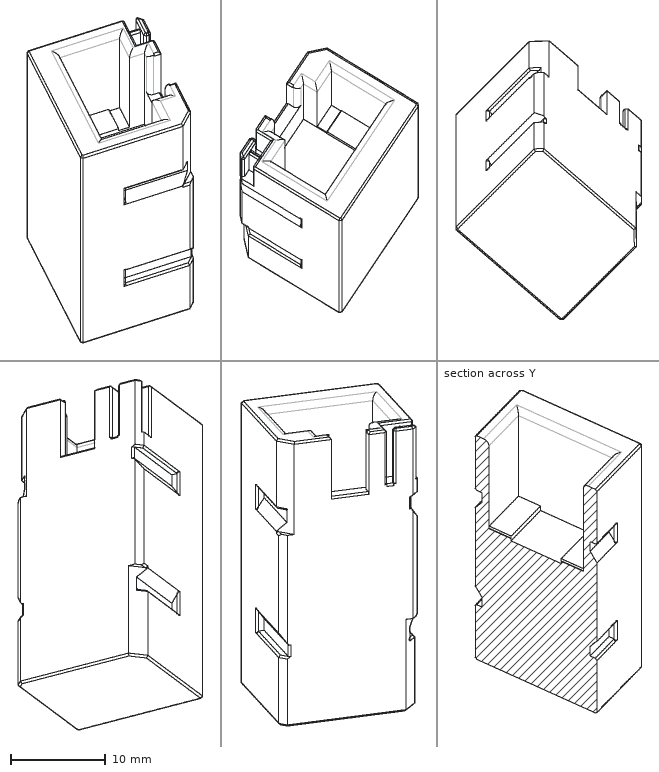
import cadquery as cq
import math

WIDTH = 15.55
DEPTH = 13.15
HEIGHT = 32.45
EDGE = 0.23

HALF_WIDTH = WIDTH / 2

SMALL_CORNER = 0.7
LARGE_CORNER = 1.5

SLOT_OFFSET = 8.0
SLOT_FLOOR = 1.33
SLOT_RAMP = 1.23
SLOT_LENGTH = SLOT_OFFSET + SLOT_FLOOR + SLOT_RAMP
SLOT_DEPTH = 0.88
SLOT_START_Y = 4.9
SLOT_END_CHAMFER = 0.25

SOCKET_WIDTH = 11.98
SOCKET_FRONT_Y = 3.1
SOCKET_BACK_Y = 9.95
KEYWAY_WIDTH = 6.35
KEYWAY_BACK_Y = 11.7
SOCKET_DEPTH = 13.0
MOUTH_RADIUS = 0.68
LEDGE_STEP = 0.32
UPPER_LEDGE_BACK_Y = 8.73

NOTCH_WIDTH = 4.2
NOTCH_DEPTH = 6.82
NOTCH_RADIUS = 0.6

POCKET_WIDTH = 3.65
POCKET_FRONT_Y = 11.15
POCKET_DEPTH = 6.2
TONGUE_INSET = 0.2
TONGUE_WIDTH = 2.65
TONGUE_FRONT_Y = 12.37
RIB_INSET = 1.25
RIB_WIDTH = 0.52
RIB_DROP = 0.55


def box(x0, x1, y0, y1, z0, z1):
    """Block between two opposite corners."""
    size = (x1 - x0, y1 - y0, z1 - z0)
    return cq.Workplane("XY").box(*size, centered=False).translate((x0, y0, z0))


def prism(points, z0, z1):
    """Upright prism over a plan outline."""
    return cq.Workplane("XY", origin=(0, 0, z0)).polyline(points).close().extrude(z1 - z0)


def turned_over(shape):
    """The same shape after half a turn about the part's middle Y axis."""
    return shape.rotate((0, 0, HEIGHT / 2), (0, 1, HEIGHT / 2), 180)


def corner_wedge(size, z0, z1):
    """Material outside a 45 degree cut on the left back corner."""
    points = [(-HALF_WIDTH, DEPTH), (-HALF_WIDTH + size, DEPTH), (-HALF_WIDTH, DEPTH - size)]
    return prism(points, z0, z1)


def back_edge_bevel(x0, width, floor_z):
    """Bevel along the back edge of a floor that opens through the back face."""
    profile = [(DEPTH - EDGE, floor_z), (DEPTH, floor_z), (DEPTH, floor_z - EDGE)]
    return cq.Workplane("YZ", origin=(x0, 0, 0)).polyline(profile).close().extrude(width)


def step_bevel():
    """Bevel on the side edge of the step where the large corner cut ends."""
    side = -HALF_WIDTH
    profile = [(side, SLOT_LENGTH), (side + EDGE, SLOT_LENGTH), (side, SLOT_LENGTH + EDGE)]
    start_y = DEPTH - LARGE_CORNER
    return cq.Workplane("XZ", origin=(0, start_y, 0)).polyline(profile).close().extrude(-LARGE_CORNER)


def make_block():
    block = box(-HALF_WIDTH, HALF_WIDTH, 0, DEPTH, 0, HEIGHT)
    block = block.edges("|Z and <Y").chamfer(EDGE)
    small_wedge = corner_wedge(SMALL_CORNER, 0, HEIGHT)
    large_wedge = corner_wedge(LARGE_CORNER, 0, SLOT_LENGTH)
    for wedge in (small_wedge, large_wedge, step_bevel()):
        block = block.cut(wedge).cut(turned_over(wedge))

    pocket_floor = HEIGHT - POCKET_DEPTH
    pocket_wall = -HALF_WIDTH + POCKET_WIDTH
    block = block.cut(box(-HALF_WIDTH, pocket_wall, POCKET_FRONT_Y, DEPTH, pocket_floor, HEIGHT))
    block = block.faces("<Z or >Z").edges().chamfer(EDGE)
    return bevel_pocket(block, pocket_floor, pocket_wall)


def bevel_pocket(block, floor_z, wall_x):
    """Bevel the pocket edges that meet the side and back faces of the block."""
    side = -HALF_WIDTH
    front_wall_bevel = prism(
        [(side, POCKET_FRONT_Y - EDGE), (side + EDGE, POCKET_FRONT_Y), (side, POCKET_FRONT_Y)],
        floor_z,
        HEIGHT,
    )
    inner_wall_bevel = prism(
        [(wall_x, DEPTH - EDGE), (wall_x + EDGE, DEPTH), (wall_x, DEPTH)],
        floor_z,
        HEIGHT,
    )
    tongue_end = side + TONGUE_INSET + TONGUE_WIDTH
    floor_bevel = back_edge_bevel(tongue_end, wall_x - tongue_end, floor_z)
    return block.cut(front_wall_bevel).cut(inner_wall_bevel).cut(floor_bevel)


def make_tongue_and_rib():
    floor_z = HEIGHT - POCKET_DEPTH
    tongue_x = -HALF_WIDTH + TONGUE_INSET
    tongue = box(tongue_x, tongue_x + TONGUE_WIDTH, TONGUE_FRONT_Y, DEPTH, floor_z, HEIGHT - EDGE)
    tongue = tongue.cut(corner_wedge(SMALL_CORNER, floor_z, HEIGHT))
    tongue = tongue.edges("|Z and (<Y or >X)").chamfer(EDGE)
    bevelled_top = tongue.faces(">Z").wires().toPending().workplane().extrude(EDGE, taper=45, combine=False)
    tongue = tongue.union(bevelled_top)

    rib_x = -HALF_WIDTH + RIB_INSET
    rib_top = HEIGHT - RIB_DROP
    rib = box(rib_x, rib_x + RIB_WIDTH, POCKET_FRONT_Y, TONGUE_FRONT_Y, floor_z, rib_top)
    rib = rib.faces(">Z").edges("|Y").chamfer(EDGE)
    return tongue.union(rib)


def corner_bevel(corner_size, wall_z):
    """Bevel on the slot wall where it runs across a 45 degree corner cut."""
    along_corner = cq.Plane(
        origin=(-HALF_WIDTH, DEPTH - corner_size, wall_z),
        xDir=(1, -1, 0),
        normal=(1, 1, 0),
    )
    profile = [(0, 0), (EDGE, 0), (0, -EDGE)]
    return cq.Workplane(along_corner).polyline(profile).close().extrude(SLOT_DEPTH * math.sqrt(2))


def make_slot(corner_size):
    """Cutter for the upper slot in the left side, beside a corner cut of the given size."""
    side = -HALF_WIDTH
    floor = side + SLOT_DEPTH
    wall_z = HEIGHT - SLOT_OFFSET
    ramp_z = wall_z - SLOT_FLOOR
    end_z = ramp_z - SLOT_RAMP
    inner_y = SLOT_START_Y + SLOT_END_CHAMFER
    profile = [
        (side, wall_z + EDGE),
        (side + EDGE, wall_z),
        (floor, wall_z),
        (floor, ramp_z),
        (side, end_z),
    ]
    slot = cq.Workplane("XZ", origin=(0, inner_y, 0)).polyline(profile).close().extrude(inner_y - DEPTH)
    end_bevel = prism(
        [(side, SLOT_START_Y), (side, inner_y), (side + SLOT_END_CHAMFER, inner_y)],
        end_z,
        wall_z + EDGE,
    )
    back_bevel = prism(
        [(floor, DEPTH - EDGE), (floor + EDGE, DEPTH), (floor, DEPTH)],
        ramp_z,
        wall_z,
    )
    return slot.union(end_bevel).union(back_bevel).union(corner_bevel(corner_size, wall_z))


def cut_slots(block):
    upper_left = make_slot(SMALL_CORNER)
    lower_left = make_slot(LARGE_CORNER).mirror("XY", (0, 0, HEIGHT / 2))
    for slot in (upper_left, lower_left):
        block = block.cut(slot).cut(turned_over(slot))
    return block


def cut_socket(block):
    floor_z = HEIGHT - SOCKET_DEPTH
    half_socket = SOCKET_WIDTH / 2
    half_key = KEYWAY_WIDTH / 2
    main = box(-half_socket, half_socket, SOCKET_FRONT_Y, SOCKET_BACK_Y, floor_z, HEIGHT)
    keyway = box(-half_key, half_key, SOCKET_FRONT_Y, KEYWAY_BACK_Y, floor_z, HEIGHT)
    block = block.cut(main.union(keyway))
    mouth = block.faces(">Z").wires(
        cq.selectors.BoxSelector(
            (-half_socket - EDGE, SOCKET_FRONT_Y - EDGE, HEIGHT - EDGE),
            (half_socket + EDGE, KEYWAY_BACK_Y + EDGE, HEIGHT + EDGE),
            boundingbox=True,
        )
    )
    block = mouth.edges().fillet(MOUTH_RADIUS)
    ledges = ((LEDGE_STEP, SOCKET_BACK_Y), (2 * LEDGE_STEP, UPPER_LEDGE_BACK_Y))
    for x0, x1 in ((-half_socket, -half_key), (half_key, half_socket)):
        for height, back_y in ledges:
            block = block.union(box(x0, x1, SOCKET_FRONT_Y, back_y, floor_z, floor_z + height))
    return block


def cut_notch(block):
    half = NOTCH_WIDTH / 2
    floor_z = HEIGHT - NOTCH_DEPTH
    wide = half + NOTCH_RADIUS
    mouth_y = KEYWAY_BACK_Y + MOUTH_RADIUS
    round_end_y = KEYWAY_BACK_Y + NOTCH_RADIUS
    notch = (
        cq.Workplane("XY", origin=(0, 0, floor_z))
        .moveTo(-wide, KEYWAY_BACK_Y)
        .radiusArc((-half, round_end_y), -NOTCH_RADIUS)
        .lineTo(-half, DEPTH)
        .lineTo(half, DEPTH)
        .lineTo(half, round_end_y)
        .radiusArc((wide, KEYWAY_BACK_Y), -NOTCH_RADIUS)
        .close()
        .extrude(NOTCH_DEPTH)
    )
    bevel_profile = [
        (-half, HEIGHT - EDGE),
        (-half - EDGE, HEIGHT),
        (half + EDGE, HEIGHT),
        (half, HEIGHT - EDGE),
    ]
    top_bevel = (
        cq.Workplane("XZ", origin=(0, mouth_y, 0)).polyline(bevel_profile).close().extrude(mouth_y - DEPTH)
    )
    floor_bevel = back_edge_bevel(-half, NOTCH_WIDTH, floor_z)
    return block.cut(notch).cut(top_bevel).cut(floor_bevel)


result = cut_slots(make_block())
result = cut_notch(cut_socket(result))
result = result.union(make_tongue_and_rib())